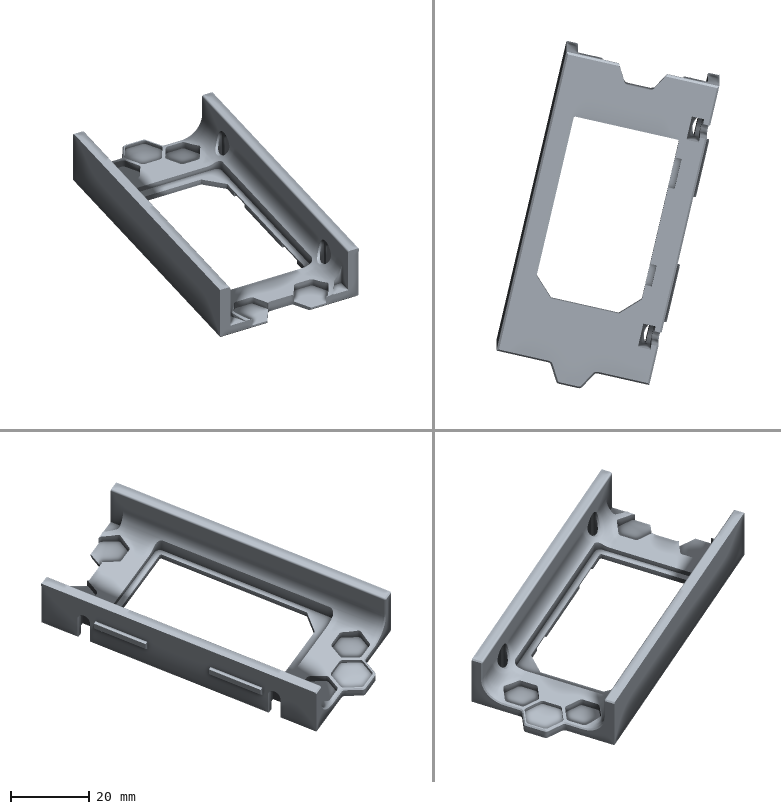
import cadquery as cq
import math

NEAR = 0.1
HEX_HALF_ANGLE = math.radians(30)

WALL = 3.0
FLOOR = 3.0
HEIGHT = 15.0
WIDTH = 40.0
START_X = 4.8
END_X = 84.6
MID_X = (START_X + END_X) / 2
MID_Y = WIDTH / 2
INNER_RADIUS = 6.0
CURVE_Y = WIDTH - WALL - INNER_RADIUS
CURVE_Z = FLOOR + INNER_RADIUS
BOTTOM_CHAMFER = 0.5
RIM_RADIUS = 0.5
END_CHAMFER = 0.3

LENGTH = 84.8
STRIP_HEIGHT = 0.85
STRIP_THICKNESS = 0.2

PITCH = 10.0
ROW_X = PITCH / 2
ROW_Y = PITCH * math.cos(HEX_HALF_ANGLE)
HEX_RADIUS = 1.0
TAB_APOTHEM = 5.4
TAB_X = TAB_APOTHEM
BADGE_APOTHEM = 4.75
BADGE_DEPTH = 1.0
POCKET_APOTHEM = 4.4
POCKET_FLOOR = 1.0
POCKET_LEFT_X = TAB_X + ROW_X
POCKET_RIGHT_X = END_X - POCKET_APOTHEM
CORNER_APOTHEM = 4.2
CORNER_X = POCKET_RIGHT_X + ROW_X
NOTCH_APOTHEM = 6.1
NOTCH_LEFT_X = 79.8

RECESS_X = (18.7, 70.4)
RECESS_Y = (4.2, 34.85)
RECESS_FLOOR = 1.5
RECESS_RADIUS = 1.5
WINDOW_X = (21.3, 68.8)
WINDOW_Y = (5.6, 33.15)
WINDOW_RADIUS = 0.5
WINDOW_CORNER = 4.9
RELIEFS_X = ((30.0, 35.7), (56.05, 64.1))
RELIEF_HEIGHT = 1.0

SLOT_OFFSET = 27.65
SLOT_Z = 7.55
HEAD_DIAMETER = 6.2
HEAD_SEAT_Y = WIDTH - 1.9
HEAD_DEPTH = 3.2
SHANK_WIDTH = 3.6
SKIN = 0.6

RIDGE_OFFSET = 16.7
RIDGE_LENGTH = 15.0
RIDGE_DEPTH = 0.9
RIDGE_BOTTOM = 6.3
RIDGE_TOP = 9.0


def box(x_range, y_range, z_range):
    """Box between (start, end) ranges along X, Y and Z."""
    size = [end - start for start, end in (x_range, y_range, z_range)]
    return cq.Workplane("XY").box(*size, centered=False).translate((x_range[0], y_range[0], z_range[0]))


def edges_within(x_range, y_range, z_range):
    """Selector for the edges whose centres lie inside a box."""
    return cq.selectors.BoxSelector(*zip(x_range, y_range, z_range))


def hexagon(x, y, apothem, bottom, top):
    """Upright hexagonal prism with rounded corners."""
    across_corners = 2 * apothem / math.cos(HEX_HALF_ANGLE)
    prism = cq.Workplane("XY").polygon(6, across_corners).extrude(top - bottom)
    prism = prism.edges("|Z").fillet(HEX_RADIUS)
    return prism.rotate((0, 0, 0), (0, 0, 1), math.degrees(HEX_HALF_ANGLE)).translate((x, y, bottom))


def channel():
    """U-shaped channel with a hexagonal tab at its -X end."""
    block = box((START_X, END_X), (0, WIDTH), (0, HEIGHT))
    hollow = box((START_X, END_X), (WALL, WIDTH - WALL), (FLOOR, HEIGHT))
    hollow = hollow.edges("|X and <Z").fillet(INNER_RADIUS)
    body = block.cut(hollow).union(hexagon(TAB_X, MID_Y, TAB_APOTHEM, 0, FLOOR))

    across_hollow = (WALL - NEAR, WIDTH - WALL + NEAR)
    tab_roots = edges_within((START_X - NEAR, START_X + NEAR), across_hollow, (NEAR, FLOOR - NEAR))
    body = body.edges(tab_roots).fillet(HEX_RADIUS)
    body = body.faces("<Z").edges().chamfer(BOTTOM_CHAMFER)
    rims = edges_within((MID_X - NEAR, MID_X + NEAR), across_hollow, (HEIGHT - NEAR, HEIGHT + NEAR))
    body = body.edges(rims).fillet(RIM_RADIUS)
    end_outline = edges_within(
        (-NEAR, START_X + NEAR), (NEAR, WIDTH - NEAR), (FLOOR - NEAR, HEIGHT + NEAR)
    )
    return body.edges(end_outline).chamfer(END_CHAMFER)


def end_notch():
    """Hexagonal notch through the floor at the +X end."""
    return hexagon(NOTCH_LEFT_X + NOTCH_APOTHEM, MID_Y, NOTCH_APOTHEM, 0, HEIGHT)


def hexagon_pockets():
    """Badge recess on the tab and four blind pockets; the +X pair opens into the notch and the end."""
    pockets = hexagon(TAB_X, MID_Y, BADGE_APOTHEM, FLOOR - BADGE_DEPTH, HEIGHT)
    half_flat = POCKET_APOTHEM * math.tan(HEX_HALF_ANGLE)
    for side in (-1, 1):
        pocket_y = MID_Y + side * ROW_Y
        for x in (POCKET_LEFT_X, POCKET_RIGHT_X):
            pockets = pockets.union(hexagon(x, pocket_y, POCKET_APOTHEM, POCKET_FLOOR, HEIGHT))
        mouth_y = sorted((pocket_y, pocket_y - side * half_flat))
        pockets = pockets.union(box((POCKET_RIGHT_X, END_X), mouth_y, (POCKET_FLOOR, HEIGHT)))
    return pockets


def corner_reliefs():
    """Hexagonal reliefs that square off the inner fillets at the +X end."""
    reach = (POCKET_RIGHT_X - PITCH, END_X)
    between_walls = box(reach, (WALL, WIDTH - WALL), (FLOOR, CURVE_Z))
    reliefs = cq.Workplane("XY")
    for side in (-1, 1):
        relief_y = MID_Y + side * 2 * ROW_Y
        relief = hexagon(CORNER_X, relief_y, CORNER_APOTHEM, FLOOR, HEIGHT)
        reliefs = reliefs.add(relief.intersect(between_walls))
    return reliefs.combine()


def window():
    """Through window with two cut corners, the recess around it and the reliefs under its +Y lip."""
    recess = box(RECESS_X, RECESS_Y, (RECESS_FLOOR, CURVE_Z)).edges("|Z").fillet(RECESS_RADIUS)
    opening = box(WINDOW_X, WINDOW_Y, (0, FLOOR))
    opening = opening.edges("|Z and <X").chamfer(WINDOW_CORNER)
    opening = opening.edges("|Z and >X").fillet(WINDOW_RADIUS)
    cutter = recess.union(opening)
    lip_y = (WINDOW_Y[1], RECESS_Y[1])
    for relief_x in RELIEFS_X:
        cutter = cutter.union(box(relief_x, lip_y, (0, RELIEF_HEIGHT)))
    return cutter


def bore(x, diameter, y_range):
    """Cylinder along Y at the height of the screws."""
    start, end = y_range
    plane = cq.Workplane("XZ", origin=(x, end, SLOT_Z))
    return plane.circle(diameter / 2).extrude(end - start)


def upright_slot(x, width, y_range):
    """Slot along Y with a round top, open at the underside."""
    straight = box((x - width / 2, x + width / 2), y_range, (0, SLOT_Z))
    return straight.union(bore(x, width, y_range))


def screw_slot(x):
    """Head slot behind a skin that follows the inner fillet, shank slot, and round hole through the skin."""
    skin = cq.Workplane("YZ", origin=(START_X, CURVE_Y, CURVE_Z))
    skin = skin.circle(INNER_RADIUS + SKIN).extrude(END_X - START_X)
    head = upright_slot(x, HEAD_DIAMETER, (HEAD_SEAT_Y - HEAD_DEPTH, HEAD_SEAT_Y)).cut(skin)
    shank = upright_slot(x, SHANK_WIDTH, (HEAD_SEAT_Y, WIDTH))
    access = bore(x, HEAD_DIAMETER, (CURVE_Y, HEAD_SEAT_Y))
    return head.union(shank).union(access)


def ridge(x):
    """Snap ridge with a 45 degree underside."""
    return (
        cq.Workplane("YZ", origin=(x - RIDGE_LENGTH / 2, WIDTH, 0))
        .moveTo(0, RIDGE_BOTTOM)
        .lineTo(RIDGE_DEPTH, RIDGE_BOTTOM + RIDGE_DEPTH)
        .lineTo(RIDGE_DEPTH, RIDGE_TOP)
        .lineTo(0, RIDGE_TOP)
        .close()
        .extrude(RIDGE_LENGTH)
    )


def make_housing():
    """Channel with its notch, pockets, window, snap ridges and screw slots."""
    body = channel()
    for cutter in (end_notch(), hexagon_pockets(), corner_reliefs(), window()):
        body = body.cut(cutter)
    for side in (-1, 1):
        body = body.union(ridge(MID_X + side * RIDGE_OFFSET))
        body = body.cut(screw_slot(MID_X + side * SLOT_OFFSET))
    return body.solids()


def make_end_strip():
    """Thin strip on the +X end of the +Y wall, along its outer top corner."""
    return box((END_X, LENGTH), (WIDTH - STRIP_THICKNESS, WIDTH), (HEIGHT - STRIP_HEIGHT, HEIGHT))


housing = make_housing()
end_strip = make_end_strip()
result = cq.Compound.makeCompound([housing.val(), end_strip.val()])